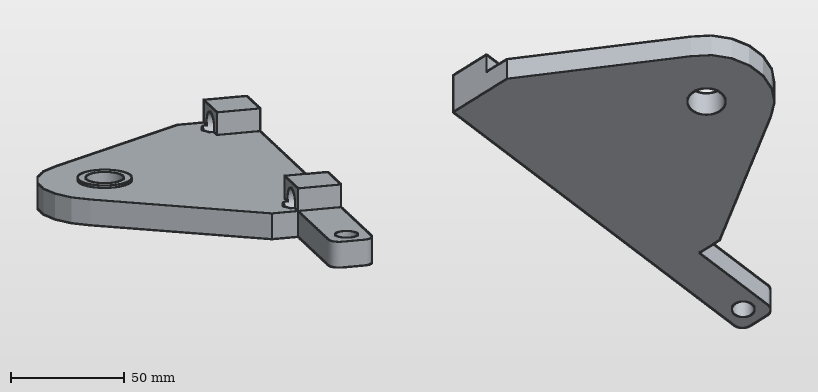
import cadquery as cq
import math

overall_length = 190.0
overall_depth = 117.2
plate_width = 140.0
plate_thickness = 12.0
side_length = 32.1
nose_radius = 30.0
nose_facet_count = 7
nose_facet_angle = 17.4

pivot_hole_diameter = 17.0
rim_diameter = 24.0
rim_height = 1.1

arm_depth = 20.0
arm_corner_radius = 5.0
arm_hole_diameter = 10.0
arm_hole_end_distance = 10.0

lug_size = 20.0
lug_height = 10.5
lug_hole_diameter = 11.0
lug_hole_axis_z = 14.0
drill_overrun = 1.9
drill_point_angle = 118.0

nose_x = plate_width / 2
nose_y = nose_radius * math.cos(math.radians(nose_facet_angle / 2)) - overall_depth


def make_plate():
    half_count = nose_facet_count / 2
    nose_points = []
    for index in range(nose_facet_count + 1):
        angle = math.radians((index - half_count) * nose_facet_angle)
        nose_points.append((nose_x + nose_radius * math.sin(angle), nose_y - nose_radius * math.cos(angle)))
    left_side = [(0, 0), (0, -side_length)]
    right_side = [(plate_width, -side_length), (plate_width, 0)]
    return cq.Workplane("XY").polyline(left_side + nose_points + right_side).close().extrude(plate_thickness)


def make_arm():
    arm_start = plate_width - lug_size
    return (
        cq.Workplane("XY")
        .box(overall_length - arm_start, arm_depth, plate_thickness, centered=False)
        .translate((arm_start, -arm_depth, 0))
        .edges("|Z and >X")
        .fillet(arm_corner_radius)
    )


def make_lug(left_x):
    return (
        cq.Workplane("XY")
        .box(lug_size, lug_size, lug_height, centered=False)
        .translate((left_x, -lug_size, plate_thickness))
    )


def make_lug_drill(center_x):
    radius = lug_hole_diameter / 2
    shoulder_y = -lug_size - drill_overrun
    point_length = radius / math.tan(math.radians(drill_point_angle / 2))
    return (
        cq.Workplane("XY")
        .lineTo(radius, 0)
        .lineTo(radius, shoulder_y)
        .lineTo(0, shoulder_y - point_length)
        .close()
        .revolve(360, (0, 0, 0), (0, 1, 0))
        .translate((center_x, 0, lug_hole_axis_z))
    )


def make_cylinder(x, y, diameter, height):
    return cq.Workplane("XY").center(x, y).circle(diameter / 2).extrude(height)


rim_top = plate_thickness + rim_height
arm_hole_x = overall_length - arm_hole_end_distance

result = make_plate().union(make_arm())
result = result.union(make_cylinder(nose_x, nose_y, rim_diameter, rim_top))
result = result.cut(make_cylinder(nose_x, nose_y, pivot_hole_diameter, rim_top))
result = result.cut(make_cylinder(arm_hole_x, -arm_depth / 2, arm_hole_diameter, plate_thickness))

for lug_x in (0, plate_width - lug_size):
    result = result.union(make_lug(lug_x))
    result = result.cut(make_lug_drill(lug_x + lug_size / 2))